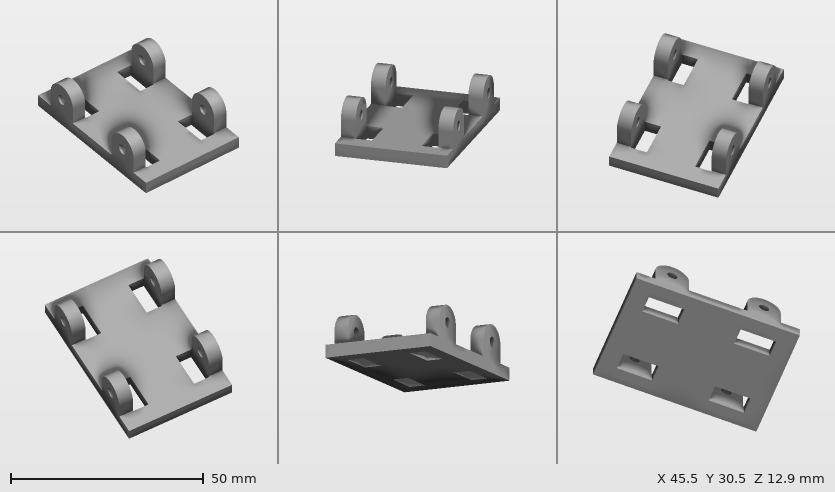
import cadquery as cq

plate_length = 45.5
plate_width = 30.5
plate_thickness = 3.45

total_height = 12.9
lug_width = 9.37
lug_thickness = 4.0
lug_spacing = 25.6
pin_diameter = 2.8
lug_radius = lug_width / 2
pin_height = total_height - lug_radius

window_length = 9.87
window_width = 4.5

lug_centers_x = (-lug_spacing / 2, lug_spacing / 2)
lug_center_y = (plate_width - lug_thickness) / 2
window_center_y = plate_width / 2 - lug_thickness - window_width / 2


def make_plate():
    """Flat plate resting on Z = 0, with a through window beside each lug."""
    window_centers = [(x, y) for x in lug_centers_x for y in (-window_center_y, window_center_y)]
    plate = cq.Workplane("XY").box(plate_length, plate_width, plate_thickness, centered=(True, True, False))
    windows = (
        cq.Workplane("XY")
        .pushPoints(window_centers)
        .rect(window_length, window_width)
        .extrude(plate_thickness)
    )
    return plate.cut(windows)


def make_lug(center_x, center_y):
    """Upright round-topped lug with a pin hole along Y, reaching down through the plate."""
    sketch_plane = cq.Workplane("XZ", origin=(center_x, center_y + lug_thickness / 2, 0))
    body = (
        sketch_plane
        .moveTo(-lug_radius, 0)
        .lineTo(lug_radius, 0)
        .lineTo(lug_radius, pin_height)
        .threePointArc((0, total_height), (-lug_radius, pin_height))
        .close()
        .extrude(lug_thickness)
    )
    pin_hole = sketch_plane.center(0, pin_height).circle(pin_diameter / 2).extrude(lug_thickness)
    return body.cut(pin_hole)


result = make_plate()
for lug_x in lug_centers_x:
    for lug_y in (-lug_center_y, lug_center_y):
        result = result.union(make_lug(lug_x, lug_y))